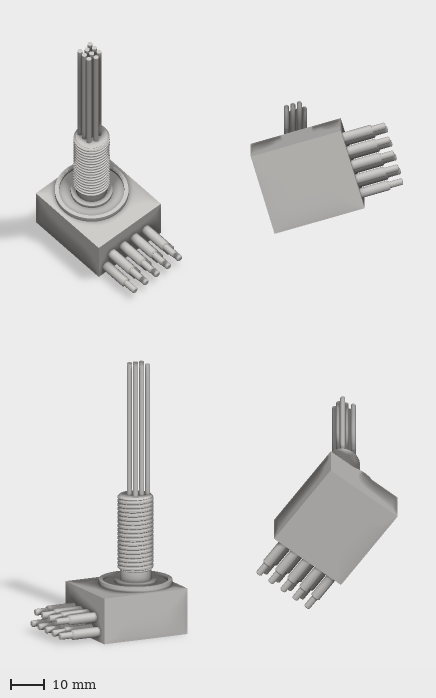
import cadquery as cq

block_length = 28.0
block_width = 25.0
block_height = 14.0

flange_diameter = 22.0
flange_height = 1.5
step_diameter = 20.0
recess_diameter = 19.5
boss_diameter = 12.5
recess_depth = 1.0
step_depth = 0.1
axis_x = flange_diameter / 2

neck_diameter = 9.4
neck_height = 3.0
thread_diameter = 10.8
thread_length = 23.0
thread_pitch = 1.27
thread_chamfer = 0.65
ridge_crest_width = 0.5
ridge_root_width = 1.2
ridge_sink = 0.1
first_groove_offset = 0.18

wire_diameter = 1.5
wire_length = 40.0
wire_spacing = 2.0
wires_per_row = 3
outer_row_shift = -wire_spacing / 2

pin_count = 9
pin_span = 18.0
pin_body_diameter = 3.0
pin_body_length = 9.0
pin_tip_diameter = 2.0
pin_tip_length = 4.0
pin_body_chamfer = 0.4
pin_tip_chamfer = 0.25
pin_row_centre_y = -0.5
lower_pin_z = 3.0
upper_pin_z = 7.0

flange_top = block_height + flange_height
thread_bottom = flange_top + neck_height
stem_top = thread_bottom + thread_length


def cylinder(diameter, height, bottom):
    """Upright cylinder on the stem axis."""
    base = cq.Workplane("XY", origin=(axis_x, 0, bottom))
    return base.circle(diameter / 2).extrude(height)


def make_housing():
    """Block and flange, with a stepped ring-shaped recess between rim and boss."""
    block = cq.Workplane("XY").box(
        block_length, block_width, block_height, centered=(False, True, False)
    )
    flange = cylinder(flange_diameter, flange_height, block_height)
    step = cylinder(step_diameter, step_depth, flange_top - step_depth)
    recess = cylinder(recess_diameter, recess_depth, flange_top - recess_depth)
    boss = cylinder(boss_diameter, flange_height, block_height)
    return block.union(flange).cut(step).cut(recess).union(boss)


def make_thread_ridge():
    """Right-handed helical ridge, its root sunk into the core, running past both thread ends."""
    crest_radius = thread_diameter / 2
    root_radius = neck_diameter / 2 - ridge_sink
    helix_length = thread_length + 2 * thread_pitch
    helix = cq.Wire.makeHelix(thread_pitch, helix_length, root_radius)
    ridge = (
        cq.Workplane("XZ")
        .moveTo(root_radius, -ridge_root_width / 2)
        .lineTo(crest_radius, -ridge_crest_width / 2)
        .lineTo(crest_radius, ridge_crest_width / 2)
        .lineTo(root_radius, ridge_root_width / 2)
        .close()
        .sweep(cq.Workplane(obj=helix), isFrenet=True)
    )
    first_ridge_z = thread_bottom + first_groove_offset - thread_pitch / 2
    start_z = first_ridge_z - thread_pitch
    return ridge.translate((axis_x, 0, start_z))


def make_end_cutter(end_z, inward):
    """Ring that chamfers the thread at end_z; inward is +1 or -1 along Z."""
    inner_radius = thread_diameter / 2 - thread_chamfer
    ring_width = thread_chamfer + thread_pitch
    return (
        cq.Workplane("XZ")
        .moveTo(inner_radius, end_z)
        .lineTo(inner_radius + ring_width, end_z + inward * ring_width)
        .lineTo(inner_radius + ring_width, end_z)
        .close()
        .revolve(360, (0, 0, 0), (0, 1, 0))
        .translate((axis_x, 0, 0))
    )


def make_stem():
    """Plain neck below a threaded length with chamfered ends."""
    ridge = make_thread_ridge()
    ridge = ridge.intersect(cylinder(thread_diameter + thread_pitch, thread_length, thread_bottom))
    ridge = ridge.cut(make_end_cutter(thread_bottom, 1))
    ridge = ridge.cut(make_end_cutter(stem_top, -1))
    core = cylinder(neck_diameter, neck_height + thread_length, flange_top)
    core = core.rotate((axis_x, 0, 0), (axis_x, 0, 1), 180)
    return core.union(ridge)


def make_wires():
    """Three rows of wires, the middle row staggered by half a spacing."""
    centres = []
    for row in (-1, 0, 1):
        row_shift = outer_row_shift if row else 0.0
        for column in range(wires_per_row):
            x = (column - (wires_per_row - 1) / 2) * wire_spacing + row_shift
            centres.append((x, row * wire_spacing))
    base = cq.Workplane("XY", origin=(axis_x, 0, stem_top))
    return base.pushPoints(centres).circle(wire_diameter / 2).extrude(wire_length)


def make_pin(y, z):
    """Stepped pin along +X with a chamfer at the end of each diameter."""
    face = cq.Workplane("YZ", origin=(block_length, y, z))
    body = face.circle(pin_body_diameter / 2).extrude(pin_body_length)
    body = body.faces(">X").chamfer(pin_body_chamfer)
    tip = face.workplane(offset=pin_body_length).circle(pin_tip_diameter / 2).extrude(pin_tip_length)
    tip = tip.faces(">X").chamfer(pin_tip_chamfer)
    return body.union(tip)


def make_pins():
    """Evenly spaced pins that alternate between the lower and the upper row."""
    pin_spacing = pin_span / (pin_count - 1)
    first_pin_y = pin_row_centre_y - pin_span / 2
    pins = cq.Workplane("XY")
    for index in range(pin_count):
        pin_z = upper_pin_z if index % 2 else lower_pin_z
        pins = pins.add(make_pin(first_pin_y + index * pin_spacing, pin_z))
    return pins.combine()


result = make_housing().union(make_stem()).union(make_wires()).union(make_pins())